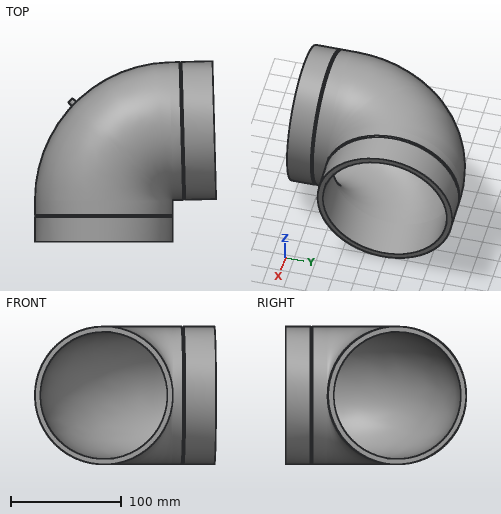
import cadquery as cq
import math

outer_diameter = 125.0
wall = 5.0
outer_radius = outer_diameter / 2
bore_radius = outer_radius - wall

bend_angle = 88.5
inside_bend_radius = 0.15
bend_radius = outer_radius + inside_bend_radius

first_leg_length = 37.37
first_groove_offset = 14.0
second_leg_length = 39.01
second_groove_offset = 10.0
groove_width = 2.2
groove_depth = 1.2

pin_tip_diameter = 5.2
pin_base_diameter = 6.0
pin_height = 4.6
pin_root_depth = wall / 2


def section_plane(angle, heading):
    """Plane of the pipe section after turning by angle.

    The normal runs along the pipe: forwards if heading is 1, backwards if -1.
    """
    turn = math.radians(angle)
    origin = (bend_radius * (1 - math.cos(turn)), bend_radius * math.sin(turn), 0)
    normal = (heading * math.sin(turn), heading * math.cos(turn), 0)
    return cq.Plane(origin=origin, xDir=(0, 0, 1), normal=normal)


first_leg_plane = section_plane(0, -1)
second_leg_plane = section_plane(bend_angle, 1)
bend_middle_plane = section_plane(bend_angle / 2, 1)
bend_centerline = cq.Workplane("XY").threePointArc(
    bend_middle_plane.origin.toTuple()[:2],
    second_leg_plane.origin.toTuple()[:2],
)


def pipe_run(radius):
    """Solid bend of the given section radius with both straight legs."""
    bend = cq.Workplane(section_plane(0, 1)).circle(radius).sweep(bend_centerline)
    first_leg = cq.Workplane(first_leg_plane).circle(radius).extrude(first_leg_length)
    second_leg = cq.Workplane(second_leg_plane).circle(radius).extrude(second_leg_length)
    return bend.union(first_leg).union(second_leg)


def v_groove(leg_plane, offset):
    """Ring of triangular section that cuts a V-groove around a leg."""
    profile_plane = cq.Plane(origin=leg_plane.origin, xDir=(0, 0, 1), normal=leg_plane.yDir * -1)
    return (
        cq.Workplane(profile_plane)
        .moveTo(outer_radius, offset - groove_width / 2)
        .lineTo(outer_radius - groove_depth, offset)
        .lineTo(outer_radius, offset + groove_width / 2)
        .close()
        .revolve(360, (0, 0, 0), (0, 1, 0))
    )


def pin():
    """Tapered pin standing radially on the outside of the bend."""
    turn = math.radians(bend_angle / 2)
    direction = cq.Vector(-math.cos(turn), math.sin(turn), 0)
    bend_center = cq.Vector(bend_radius, 0, 0)
    tip_center = bend_center + direction * (bend_radius + outer_radius + pin_height)
    tip_plane = cq.Plane(origin=tip_center, xDir=(0, 0, 1), normal=direction * -1)
    flare = (pin_base_diameter - pin_tip_diameter) / 2
    taper = math.degrees(math.atan2(flare, pin_height))
    return (
        cq.Workplane(tip_plane)
        .circle(pin_tip_diameter / 2)
        .extrude(pin_height + pin_root_depth, taper=-taper)
    )


elbow = pipe_run(outer_radius).cut(pipe_run(bore_radius))
elbow = elbow.cut(v_groove(first_leg_plane, first_groove_offset))
elbow = elbow.cut(v_groove(second_leg_plane, second_groove_offset))

result = elbow.union(pin())